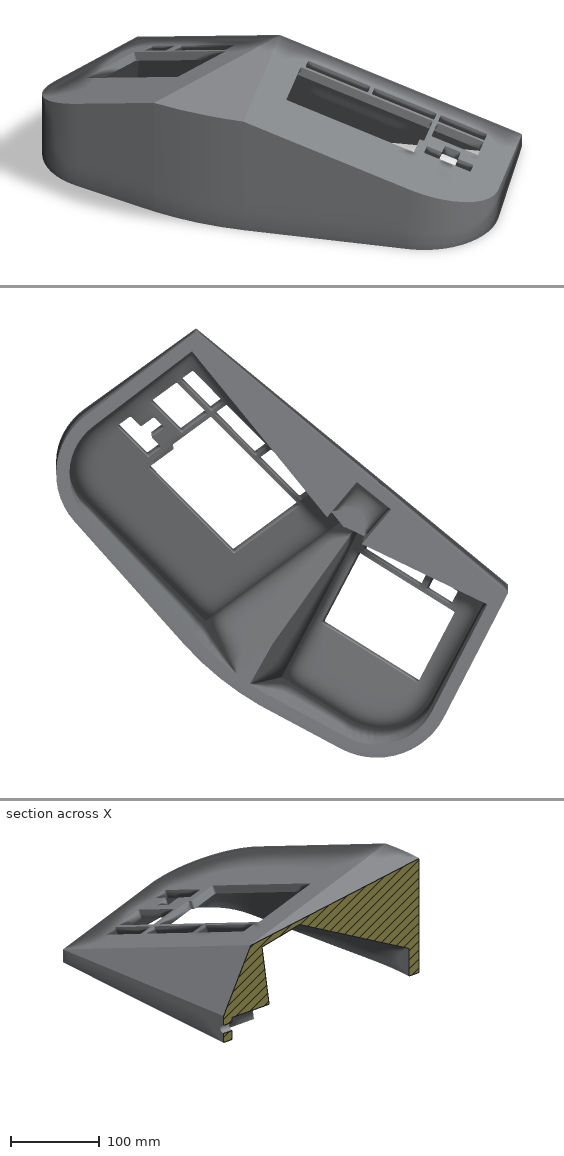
import cadquery as cq
peak = cq.Vector(0, 0, 109.5)
ridge_left = cq.Vector(-55.0, -241.5, 142.5)
ridge_right = cq.Vector(53.5, -241.5, 142.5)
back_left = cq.Vector(-188.0, 35.5, 45.0)
back_right = cq.Vector(275.0, 46.0, 16.0)
front_left = back_left + ridge_left - peak
front_right = back_right + ridge_right - peak
nose_bulge = 4.5
corner_radius = 84.5
reach = 1074.0

panel_thickness = 10.0
wall_thickness = 15.0
back_wall = 15.5
left_cavity_near = 23.0
right_cavity_near = -12.5

passage_width = 50.0
passage_height = 27.5
passage_front_y = -48.5
passage_back_y = 27.0
cable_hole_diameter = 9.5
cable_hole_height = 16.5

opening_radius = 1.69
slot_back = 35.0
slot_front = 53.0
window_back = 58.0
window_front = 153.0

left_window_near = 34.5
left_window_far = 165.0
left_slots = [(38.0, 115.5), (123.0, 157.0)]

right_window_near = 36.0
right_window_far = 196.5
window_step_far = 191.0
window_step_back = 115.5
switch_near = 202.0
switch_far = 258.5
switch_front = 96.0
right_slots = [(41.0, 116.5), (121.5, 197.0), (switch_near, switch_far)]

tee_stem_near = 220.0
tee_stem_far = 239.5
tee_back = 106.5
tee_shoulder = 125.0
tee_front = 144.5


def roof_plane(start, end, other):
    """Plane through the peak and parallel to start-end and peak-other; its normal points up."""
    along = end - start
    normal = along.cross(other - peak)
    if normal.z < 0:
        normal = normal * -1
    return cq.Plane(origin=peak, xDir=along, normal=normal)


left_panel = roof_plane(back_left, peak, ridge_left)
right_panel = roof_plane(peak, back_right, ridge_right)
center_panel = roof_plane(ridge_left, ridge_right, ridge_right)
back_panel = roof_plane(peak, back_right, back_left)


def plan(point):
    return (point.x, point.y)


def rectangle(near, far, back, front):
    return [(near, back), (far, back), (far, front), (near, front)]


def panel_sketch(plane, side, outline):
    """Closed outline on a panel, from points (from the ridge, from the back edge)."""
    points = [(side * across, -down) for across, down in outline]
    return cq.Workplane(plane).polyline(points).close()


def base_prism():
    """Upright prism over the whole base, with a curved nose and two rounded front corners."""
    nose_tip = ((ridge_left.x + ridge_right.x) / 2, ridge_left.y - nose_bulge)
    height = 2 * ridge_left.z
    prism = (
        cq.Workplane("XY")
        .moveTo(*plan(back_left))
        .lineTo(*plan(front_left))
        .lineTo(*plan(ridge_left))
        .threePointArc(nose_tip, plan(ridge_right))
        .lineTo(*plan(front_right))
        .lineTo(*plan(back_right))
        .close()
        .extrude(height)
    )
    for corner in (front_left, front_right):
        upright = cq.selectors.NearestToPointSelector((corner.x, corner.y, height / 2))
        prism = prism.edges(upright).fillet(corner_radius)
    return prism


def trim_above(block, plane):
    return block.cut(cq.Workplane(plane).rect(2 * reach, 2 * reach).extrude(reach))


def cavity(plane, side, near, inner_space):
    """Space square to a panel, below its thickness and inside the outer walls."""
    outline = rectangle(near, reach, back_wall, reach)
    underside = cq.Plane(
        origin=peak - plane.zDir * panel_thickness, xDir=plane.xDir, normal=plane.zDir
    )
    return panel_sketch(underside, side, outline).extrude(-reach).intersect(inner_space)


def cable_passage():
    """Low box open at the base, with a round hole on through the back wall."""
    length = passage_back_y - passage_front_y
    passage = (
        cq.Workplane("XY", origin=(0, passage_front_y, 0))
        .box(passage_width, length, passage_height, centered=(True, False, False))
    )
    hole = (
        cq.Workplane("XZ", origin=(0, passage_front_y, cable_hole_height))
        .circle(cable_hole_diameter / 2)
        .extrude(-reach)
    )
    return passage.union(hole)


def opening(plane, side, outline):
    cutter = panel_sketch(plane, side, outline).extrude(2 * panel_thickness, both=True)
    return cutter.edges(cq.selectors.ParallelDirSelector(plane.zDir)).fillet(opening_radius)


left_outlines = [rectangle(near, far, slot_back, slot_front) for near, far in left_slots]
left_outlines.append(rectangle(left_window_near, left_window_far, window_back, window_front))

stepped_window = [
    (right_window_near, window_back),
    (right_window_far, window_back),
    (right_window_far, window_step_back),
    (window_step_far, window_step_back),
    (window_step_far, window_front),
    (right_window_near, window_front),
]
tee = [
    (tee_stem_near, tee_back),
    (tee_stem_far, tee_back),
    (tee_stem_far, tee_shoulder),
    (switch_far, tee_shoulder),
    (switch_far, tee_front),
    (switch_near, tee_front),
    (switch_near, tee_shoulder),
    (tee_stem_near, tee_shoulder),
]
right_outlines = [rectangle(near, far, slot_back, slot_front) for near, far in right_slots]
right_outlines.append(rectangle(switch_near, switch_far, window_back, switch_front))
right_outlines += [stepped_window, tee]


body = base_prism()
base_outline = body.faces("<Z").wires().toPending()
inner_space = base_outline.offset2D(-wall_thickness).extrude(2 * ridge_left.z, combine=False)
for roof in (left_panel, right_panel, center_panel, back_panel):
    body = trim_above(body, roof)
body = body.cut(cavity(left_panel, -1, left_cavity_near, inner_space))
body = body.cut(cavity(right_panel, 1, right_cavity_near, inner_space))
body = body.cut(cable_passage())
for outline in left_outlines:
    body = body.cut(opening(left_panel, -1, outline))
for outline in right_outlines:
    body = body.cut(opening(right_panel, 1, outline))
result = body